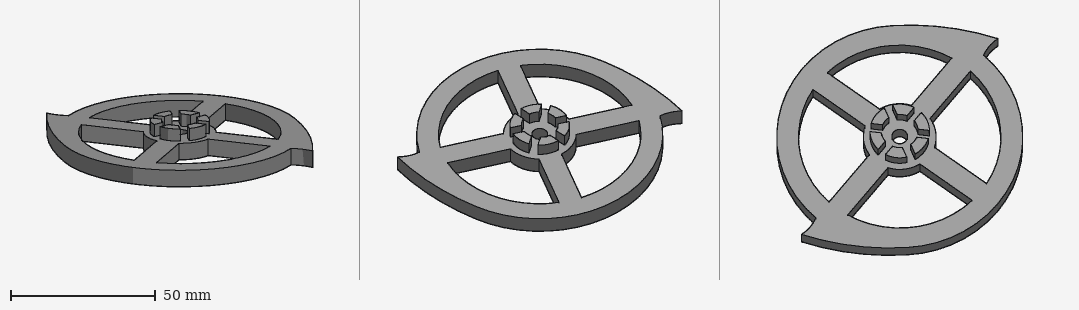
import cadquery as cq
import math

plate_thickness = 6.0
rim_radius = 42.5
rim_inner_radius = 34.9
spoke_width = 8.2
hub_radius = 12.6
bore_diameter = 5.4

tooth_tip = (50.3, -4.0)
tooth_flank_middle = (41.5, 15.1)
tooth_start_angle = 41.0
tooth_root = (42.1, -4.0)
tooth_underside_middle = (46.8, -3.4)
tooth_angles = (0, 180)

lug_height = 4.4
lug_outer_radius = 10.3
lug_inner_radius = 6.3
lug_gap = 3.1
lug_gap_angles = (0, 60, 120)


def disc(radius, height):
    return cq.Workplane("XY").circle(radius).extrude(height)


def bar(length, width, height):
    """Bar along X, centred on the axis and standing on the XY plane."""
    return cq.Workplane("XY").rect(length, width).extrude(height)


def make_tooth():
    """Tooth with a long bowed flank and a slightly hollow underside."""
    angle = math.radians(tooth_start_angle)
    flank_start = (rim_radius * math.cos(angle), rim_radius * math.sin(angle))
    inside_rim = ((rim_radius + rim_inner_radius) / 2, 0)
    return (
        cq.Workplane("XY")
        .moveTo(*flank_start)
        .threePointArc(tooth_flank_middle, tooth_tip)
        .threePointArc(tooth_underside_middle, tooth_root)
        .lineTo(*inside_rim)
        .close()
        .extrude(plate_thickness)
    )


def make_lugs():
    """Ring cut into six lugs by three channels across its diameter."""
    lugs = disc(lug_outer_radius, lug_height).cut(disc(lug_inner_radius, lug_height))
    channel = bar(3 * lug_outer_radius, lug_gap, lug_height)
    for angle in lug_gap_angles:
        lugs = lugs.cut(channel.rotate((0, 0, 0), (0, 0, 1), angle))
    return lugs.translate((0, 0, plate_thickness))


wheel = disc(rim_radius, plate_thickness).cut(disc(rim_inner_radius, plate_thickness))

spoke_length = rim_radius + rim_inner_radius
wheel = wheel.union(bar(spoke_length, spoke_width, plate_thickness))
wheel = wheel.union(bar(spoke_width, spoke_length, plate_thickness))

wheel = wheel.union(disc(hub_radius, plate_thickness))

tooth = make_tooth()
for angle in tooth_angles:
    wheel = wheel.union(tooth.rotate((0, 0, 0), (0, 0, 1), angle))

wheel = wheel.union(make_lugs())
result = wheel.cut(disc(bore_diameter / 2, plate_thickness))